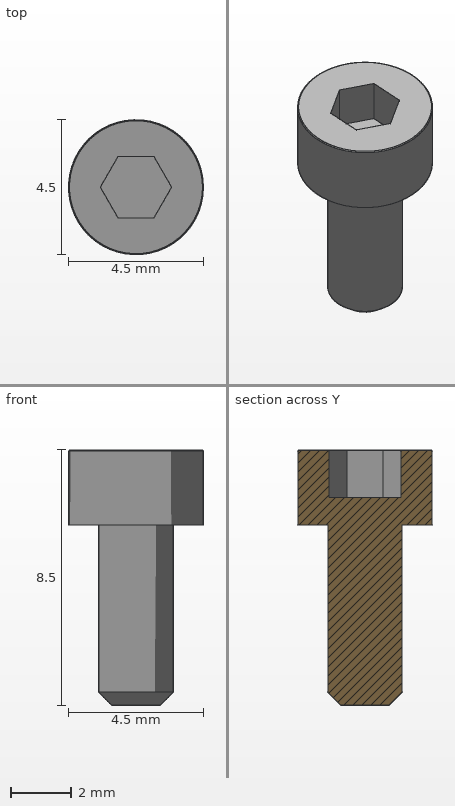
import cadquery as cq
import math

total_length = 8.5
head_diameter = 4.5
head_height = 2.5
head_edge_chamfer = 0.03
shank_diameter = 2.5
tip_chamfer = 0.44
socket_across_flats = 2.06
socket_depth = 1.57

shank_length = total_length - head_height
socket_across_corners = socket_across_flats / math.cos(math.pi / 6)


def make_head():
    """Cylindrical head with a lightly broken top edge."""
    head = cq.Workplane("XY").circle(head_diameter / 2).extrude(head_height)
    return head.faces(">Z").edges().chamfer(head_edge_chamfer)


def make_shank():
    """Plain shank with a chamfered tip."""
    shank = cq.Workplane("XY").circle(shank_diameter / 2).extrude(-shank_length)
    return shank.faces("<Z").edges().chamfer(tip_chamfer)


def make_socket():
    """Flat-bottomed hexagon with two corners on the X axis."""
    top = cq.Workplane("XY").workplane(offset=head_height)
    return top.polygon(6, socket_across_corners).extrude(-socket_depth)


result = make_head().union(make_shank()).cut(make_socket())